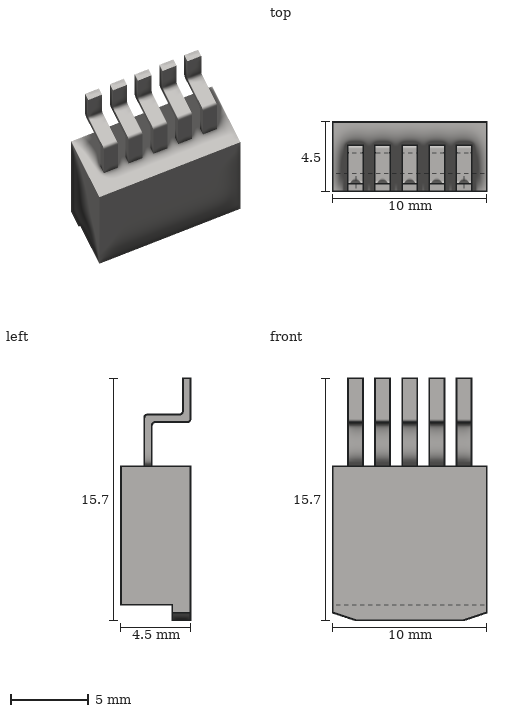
import cadquery as cq

width = 10.0
thickness = 4.5
height = 15.7

tab_drop = 1.0
tab_thickness = 1.2
tab_corner_width = 1.5
tab_corner_height = 0.5

lead_count = 5
lead_pitch = 1.76
lead_width = 0.99
lead_thickness = 0.5
lead_reach = 3.0
lead_height = 5.7
step_bottom_height = 2.84
bend_radius = 0.2

body_top = height - lead_height
step_bottom = body_top + step_bottom_height
step_top = step_bottom + lead_thickness


def make_body():
    """Solid block above the tab."""
    body_height = body_top - tab_drop
    return cq.Workplane("XY").box(
        width, thickness, body_height, centered=(True, False, False)
    ).translate((0, 0, tab_drop))


def make_tab():
    """Thin front plate with its two lower corners cut at a shallow slope."""
    half_width = width / 2
    half_edge = half_width - tab_corner_width
    return (
        cq.Workplane("XZ")
        .moveTo(-half_edge, 0)
        .lineTo(half_edge, 0)
        .lineTo(half_width, tab_corner_height)
        .lineTo(half_width, body_top)
        .lineTo(-half_width, body_top)
        .lineTo(-half_width, tab_corner_height)
        .close()
        .extrude(-tab_thickness)
    )


def make_lead(center_x):
    """Z-shaped lead: up from the body, forward, then up along the front face."""
    lead_inner_y = lead_reach - lead_thickness
    outline = [
        (lead_inner_y, body_top),
        (lead_reach, body_top),
        (lead_reach, step_top),
        (lead_thickness, step_top),
        (lead_thickness, height),
        (0, height),
        (0, step_bottom),
        (lead_inner_y, step_bottom),
    ]
    lead = cq.Workplane("YZ").polyline(outline).close().extrude(lead_width / 2, both=True)
    step_middle = (step_bottom + step_top) / 2
    bend_zone = cq.selectors.BoxSelector(
        (-lead_width, -lead_thickness, step_middle - lead_thickness),
        (lead_width, lead_reach + lead_thickness, step_middle + lead_thickness),
    )
    lead = lead.edges("|X").edges(bend_zone).fillet(bend_radius)
    return lead.translate((center_x, 0, 0))


result = make_body().union(make_tab())
for index in range(lead_count):
    offset = index - (lead_count - 1) / 2
    result = result.union(make_lead(offset * lead_pitch))